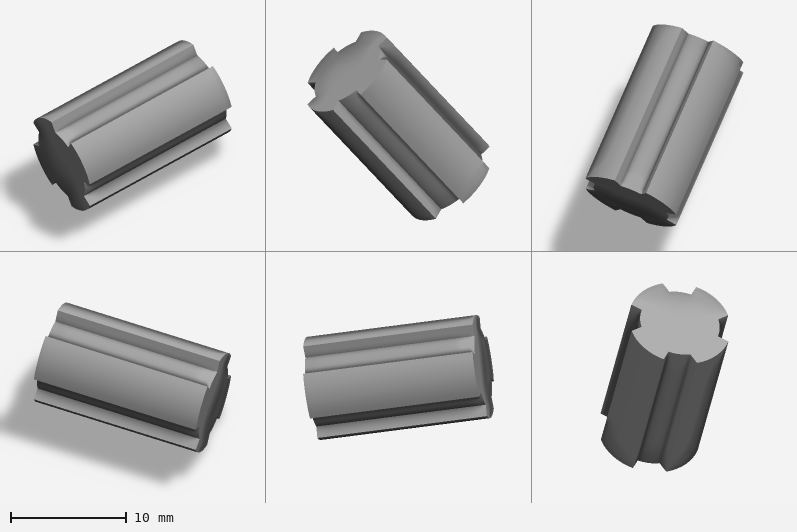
import cadquery as cq
import math

length = 15.0
outer_radius = 4.5
root_radius = 3.5
groove_count = 4
groove_pitch = 360.0 / groove_count

left_rim_angle = -19.5
left_root_angle = -15.2
right_root_angle = 16.6
right_rim_angle = 18.5


def polar_point(radius, angle):
    """Section point (x, z) at an angle measured from +Z towards +X."""
    turn = math.radians(angle)
    return (radius * math.sin(turn), radius * math.cos(turn))


def splined_section():
    """Closed section of the shaft, one groove and one land at a time."""
    plane = cq.Plane(origin=(0, 0, 0), xDir=(1, 0, 0), normal=(0, -1, 0))
    section = cq.Workplane(plane).moveTo(*polar_point(outer_radius, left_rim_angle))
    root_middle_angle = (left_root_angle + right_root_angle) / 2
    next_rim_angle = left_rim_angle + groove_pitch
    land_middle_angle = (right_rim_angle + next_rim_angle) / 2
    for index in range(groove_count):
        turn = index * groove_pitch
        section = section.lineTo(*polar_point(root_radius, turn + left_root_angle))
        section = section.threePointArc(
            polar_point(root_radius, turn + root_middle_angle),
            polar_point(root_radius, turn + right_root_angle),
        )
        section = section.lineTo(*polar_point(outer_radius, turn + right_rim_angle))
        section = section.threePointArc(
            polar_point(outer_radius, turn + land_middle_angle),
            polar_point(outer_radius, turn + next_rim_angle),
        )
    return section.close()


result = splined_section().extrude(length / 2, both=True)